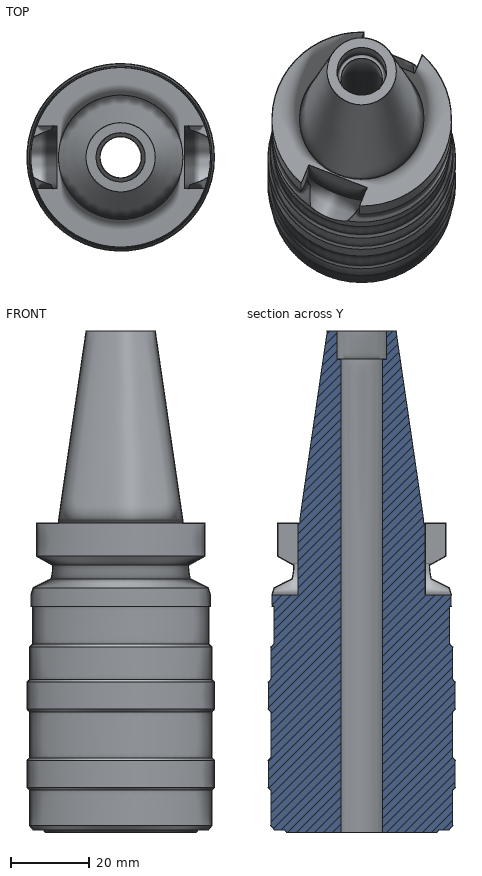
import cadquery as cq

total_length = 128.4
gauge_height = 80.0
gauge_radius = 15.9
shank_tip_radius = 8.9

flange_radius = 23.0
flange_top = 79.2
groove_radius = 19.1
groove_upper_edge = 70.7
groove_floor_top = 68.5
groove_floor_bottom = 65.0
groove_lower_edge = 62.7
collar_bottom = 57.9

waist_radius = 22.6
waist_bottom = 48.3
body_radius = 23.4
nose_chamfer_height = 1.2
nose_chamfer_width = 1.0
end_boss_height = 0.6
end_boss_radius = 19.3
end_boss_base_radius = 19.8

ring_radius = 24.0
ring_width = 6.9
ring_bottoms = (31.6, 11.5)

slot_width = 16.0
slot_floor_distance = 16.3
slot_bottom = 60.9

hole_radius = 5.3
mouth_radius = 6.3
mouth_depth = 7.2


def ring_points(bottom):
    """Radius and height pairs around one ring, from its top edge downward."""
    slope = ring_radius - body_radius
    top = bottom + ring_width
    return [
        (body_radius, top + slope),
        (ring_radius, top),
        (ring_radius, bottom),
        (body_radius, bottom - slope),
    ]


def make_body():
    """Revolve the outer profile, listed from the shank tip downward."""
    shank = [
        (0, total_length),
        (shank_tip_radius, total_length),
        (gauge_radius, gauge_height),
        (gauge_radius, flange_top),
    ]
    flange = [
        (flange_radius, flange_top),
        (flange_radius, groove_upper_edge),
        (groove_radius, groove_floor_top),
        (groove_radius, groove_floor_bottom),
        (flange_radius, groove_lower_edge),
        (flange_radius, collar_bottom),
    ]
    waist = [
        (waist_radius, collar_bottom),
        (waist_radius, waist_bottom),
        (body_radius, waist_bottom - (body_radius - waist_radius)),
    ]
    rings = [point for bottom in ring_bottoms for point in ring_points(bottom)]
    nose = [
        (body_radius, end_boss_height + nose_chamfer_height),
        (body_radius - nose_chamfer_width, end_boss_height),
        (end_boss_base_radius, end_boss_height),
        (end_boss_radius, 0),
        (0, 0),
    ]
    profile = cq.Workplane("XZ").polyline(shank + flange + waist + rings + nose).close()
    return profile.revolve(360, (0, 0, 0), (0, 1, 0))


def make_drive_slot():
    """Cutter for the slot on the +X side."""
    half_width = slot_width / 2
    arc_center_height = slot_bottom + half_width
    return (
        cq.Workplane("YZ", origin=(slot_floor_distance, 0, 0))
        .moveTo(-half_width, flange_top)
        .lineTo(-half_width, arc_center_height)
        .threePointArc((0, slot_bottom), (half_width, arc_center_height))
        .lineTo(half_width, flange_top)
        .close()
        .extrude(ring_radius - slot_floor_distance)
    )


def make_bore():
    """Cutter for the through hole and its wider mouth."""
    through_hole = cq.Workplane("XY").circle(hole_radius).extrude(total_length)
    mouth = (
        cq.Workplane("XY", origin=(0, 0, total_length - mouth_depth))
        .circle(mouth_radius)
        .extrude(mouth_depth)
    )
    return through_hole.union(mouth)


result = make_body().cut(make_bore())
drive_slot = make_drive_slot()
for side_angle in (0, 180):
    result = result.cut(drive_slot.rotate((0, 0, 0), (0, 0, 1), side_angle))